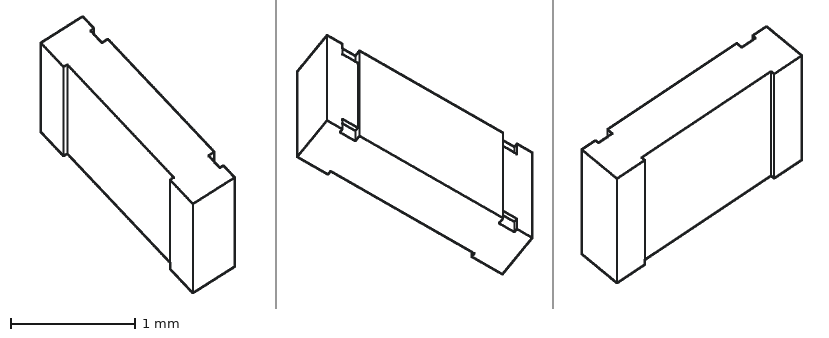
import cadquery as cq

length = 2.0
height = 1.25
depth = 0.45
terminal_width = 0.3
front_recess = 0.038
rear_step = 0.025
notch_width = terminal_width / 2
notch_height = notch_width
notch_depth = 0.035

half_length = length / 2
body_half = half_length - terminal_width
front = -depth / 2
rear = depth / 2
terminal_rear = rear - rear_step

section = (
    cq.Workplane("XY")
    .moveTo(0, front + front_recess)
    .lineTo(body_half, front + front_recess)
    .lineTo(body_half, front)
    .lineTo(half_length, front)
    .lineTo(half_length, terminal_rear)
    .lineTo(body_half, terminal_rear)
    .lineTo(body_half, rear)
    .lineTo(0, rear)
    .mirrorY()
)
chip = section.extrude(height / 2, both=True)

notch_x = body_half + notch_width / 2
notch_y = terminal_rear - notch_depth / 2
notch_z = (height - notch_height) / 2
for side in (-1, 1):
    for end in (-1, 1):
        notch = cq.Workplane("XY").box(notch_width, notch_depth, notch_height)
        chip = chip.cut(notch.translate((side * notch_x, notch_y, end * notch_z)))

result = chip